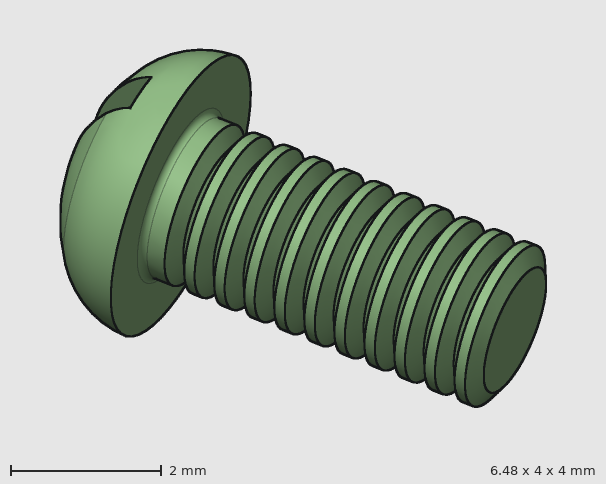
import cadquery as cq
import math

length = 6.48
head_diameter = 4.0
head_radius = head_diameter / 2
head_height = 1.48
shank_radius = 1.15
neck_fillet = 0.1

slot_width = 0.6
slot_bottom = 0.88

crown_edge_x = 0.525
crown_edge_radius = 1.53

thread_length = 4.5
ridge_count = 10
pitch = thread_length / ridge_count
crest_width = 0.155
flank_width = (pitch - crest_width) / 2
root_radius = shank_radius - flank_width * math.tan(math.radians(60))
thread_start = length - thread_length

slot_half = slot_width / 2
crown_center_x = (crown_edge_x**2 + crown_edge_radius**2 - slot_half**2) / (2 * crown_edge_x)
crown_radius = math.hypot(crown_center_x, slot_half)
apex_x = crown_center_x - crown_radius
crown_half_angle = math.asin(crown_edge_radius / crown_radius) / 2
crown_middle = (
    crown_center_x - crown_radius * math.cos(crown_half_angle),
    crown_radius * math.sin(crown_half_angle),
)


def revolved_screw():
    """Revolve the half outline of the head, neck and ridged shank about X."""
    outline = (
        cq.Workplane("XY")
        .moveTo(apex_x, 0)
        .threePointArc(crown_middle, (crown_edge_x, crown_edge_radius))
        .tangentArcPoint((head_height, head_radius), relative=False)
        .lineTo(head_height, shank_radius + neck_fillet)
        .radiusArc((head_height + neck_fillet, shank_radius), -neck_fillet)
        .lineTo(thread_start - flank_width, shank_radius)
        .lineTo(thread_start, root_radius)
    )
    for ridge in range(ridge_count):
        ridge_start = thread_start + ridge * pitch
        crest_start = ridge_start + flank_width
        outline = (
            outline.lineTo(crest_start, shank_radius)
            .lineTo(crest_start + crest_width, shank_radius)
            .lineTo(ridge_start + pitch, root_radius)
        )
    return outline.lineTo(length, 0).close().revolve(360, (0, 0, 0), (1, 0, 0))


def driver_slot():
    """Straight slot through the full head along Z, open at the crown."""
    cutter_length = 2 * slot_bottom
    return cq.Workplane("XY").box(cutter_length, slot_width, head_diameter)


result = revolved_screw().cut(driver_slot())